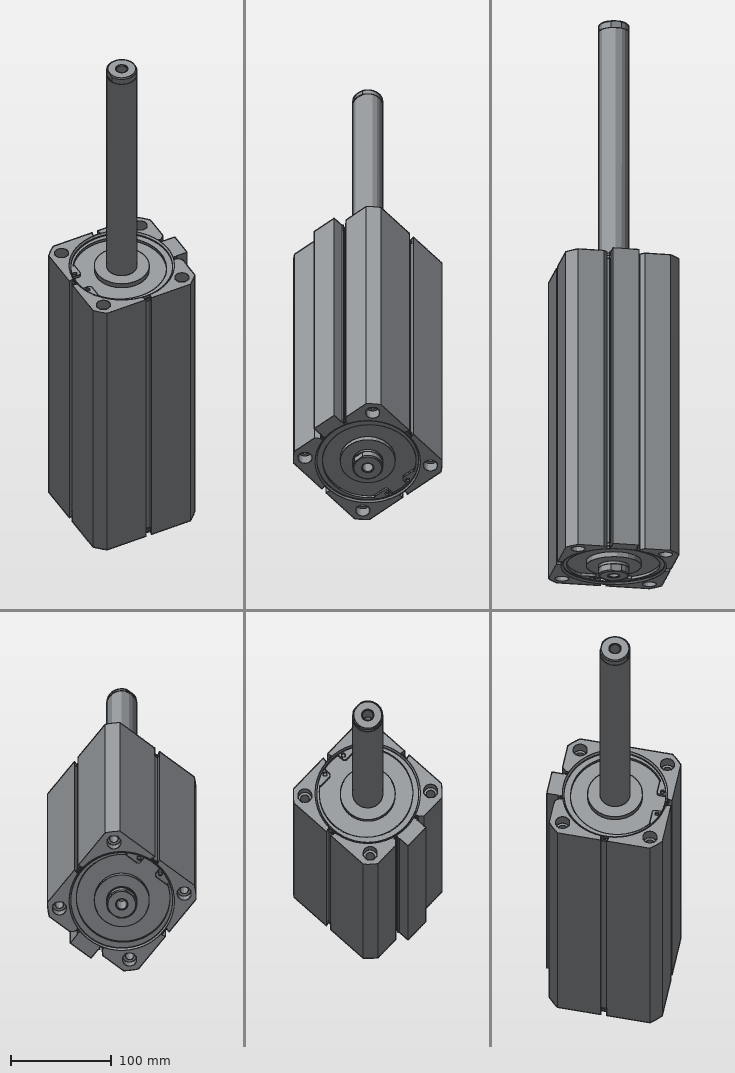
import cadquery as cq
import math


BODY_WIDTH = 115.0
BODY_LENGTH = 313.0
CORNER_INSET = 10.5
BORE_RADIUS = 50.5
MOUTH_CHAMFER = 2.0
RAIL_WIDTH = 26.0
RAIL_HEIGHT = 9.5
NOTCH_DEPTH = 6.5
NOTCH_WIDTH = 7.5
NOTCH_FLOOR = 3.5
BARB_TOP = 2.5
BARB_SIZE = 1.0
SLOT_MOUTH = 6.0
SLOT_FLOOR = 8.0
SLOT_DEPTH = 4.5
BOLT_OFFSET = 44.0
BOLT_HOLE_RADIUS = 4.35
COUNTERBORE_RADIUS = 7.0
COUNTERBORE_DEPTH = 11.5

RING_INSET = 3.0
RING_THICKNESS = 3.0
RING_OUTER_RADIUS = 54.0
RING_INNER_RADIUS = 46.5
RING_INNER_SHIFT = 2.5
RING_HALF_GAP = 10.0
LUG_CORNER_RADIUS = 3.0
LUG_REACH = 25.5
LUG_INNER_Y = 40.0
EYE_X = 13.5
EYE_Y = 45.5
EYE_RADIUS = 2.05

COVER_INSET = RING_INSET + RING_THICKNESS
COVER_THICKNESS = 23.5
BOSS_RADIUS = 27.5
BOSS_HEIGHT = 5.0

ROD_RADIUS = 15.0
ROD_LENGTH = 582.5
ROD_LOW_END = 10.0
TIP_STEP = 0.2
TIP_LENGTH = 7.5
TIP_CHAMFER = 1.0
TIP_FLAT = 14.0
ROD_HOLE_RADIUS = 5.0
ROD_HOLE_DEPTH = 23.5
DRILL_POINT_ANGLE = 118
ROD_HOLE_CHAMFER = 0.9

HALF_WIDTH = BODY_WIDTH / 2


def at_far_end(body):
    """Mirror image of a body from the lower to the upper end of the barrel."""
    return body.mirror("XY", (0, 0, BODY_LENGTH / 2))


def both_ends(body):
    return [body, at_far_end(body)]


def end_disc(radius, start, thickness):
    return cq.Workplane("XY").workplane(offset=start).circle(radius).extrude(thickness)


def side_slot(angle):
    """Full-length dovetail slot in the -Y face, turned about the axis by angle."""
    outline = [
        (-SLOT_MOUTH / 2, -HALF_WIDTH),
        (-SLOT_FLOOR / 2, SLOT_DEPTH - HALF_WIDTH),
        (SLOT_FLOOR / 2, SLOT_DEPTH - HALF_WIDTH),
        (SLOT_MOUTH / 2, -HALF_WIDTH),
    ]
    slot = cq.Workplane("XY").polyline(outline).close().extrude(BODY_LENGTH)
    return slot.rotate((0, 0, 0), (0, 0, 1), angle)


def rail_notch():
    """Notch on the +X side of the rail: a 45 degree wall faces the rail and its small barb."""
    rail_x = RAIL_WIDTH / 2
    outline = [
        (0, 0),
        (0, BARB_TOP),
        (BARB_SIZE, BARB_TOP + BARB_SIZE),
        (0, BARB_TOP + 2 * BARB_SIZE),
        (0, NOTCH_DEPTH),
        (NOTCH_FLOOR, NOTCH_DEPTH),
        (NOTCH_FLOOR, NOTCH_WIDTH - NOTCH_FLOOR),
        (NOTCH_WIDTH, 0),
    ]
    points = [(rail_x + out, HALF_WIDTH - depth) for out, depth in outline]
    return cq.Workplane("XY").polyline(points).close().extrude(BODY_LENGTH)


def bore_end():
    """Chamfered mouth and ring groove at the lower end of the bore."""
    mouth = cq.Workplane(
        cq.Solid.makeCone(BORE_RADIUS + MOUTH_CHAMFER, BORE_RADIUS, MOUTH_CHAMFER)
    )
    return mouth.union(end_disc(RING_OUTER_RADIUS, RING_INSET, RING_THICKNESS))


def make_barrel():
    barrel = cq.Workplane("XY").rect(BODY_WIDTH, BODY_WIDTH).extrude(BODY_LENGTH)
    corner_radius = math.hypot(HALF_WIDTH, HALF_WIDTH - CORNER_INSET)
    barrel = barrel.intersect(end_disc(corner_radius, 0, BODY_LENGTH))
    rail = (
        cq.Workplane("XY")
        .center(0, HALF_WIDTH)
        .rect(RAIL_WIDTH, 2 * RAIL_HEIGHT)
        .extrude(BODY_LENGTH)
    )
    barrel = barrel.union(rail)
    barrel = barrel.cut(end_disc(BORE_RADIUS, 0, BODY_LENGTH))
    notch = rail_notch()
    barrel = barrel.cut(notch).cut(notch.mirror("YZ"))
    for angle in (0, 90, -90):
        barrel = barrel.cut(side_slot(angle))
    for end in both_ends(bore_end()):
        barrel = barrel.cut(end)

    bolts = cq.Workplane("XY").rect(2 * BOLT_OFFSET, 2 * BOLT_OFFSET, forConstruction=True).vertices()
    barrel = barrel.cut(bolts.circle(BOLT_HOLE_RADIUS).extrude(BODY_LENGTH))
    for counterbores in both_ends(bolts.circle(COUNTERBORE_RADIUS).extrude(COUNTERBORE_DEPTH)):
        barrel = barrel.cut(counterbores)
    return barrel


def make_ring():
    """Open retaining ring at the lower end, with two eyed lugs on its -Y side."""
    blank = end_disc(RING_OUTER_RADIUS, RING_INSET, RING_THICKNESS)
    plane = cq.Workplane("XY").workplane(offset=RING_INSET)
    opening = (
        plane.center(0, -RING_INNER_SHIFT)
        .circle(RING_INNER_RADIUS)
        .extrude(RING_THICKNESS)
    )
    lug_width = LUG_REACH - RING_HALF_GAP
    lug_depth = RING_OUTER_RADIUS - LUG_INNER_Y
    lug = (
        plane.center(RING_HALF_GAP + lug_width / 2, -LUG_INNER_Y - lug_depth / 2)
        .rect(lug_width, lug_depth)
        .extrude(RING_THICKNESS)
        .edges("|Z").edges("<X").edges(">Y")
        .fillet(LUG_CORNER_RADIUS)
        .intersect(blank)
    )
    gap = (
        plane.center(0, -RING_OUTER_RADIUS)
        .rect(2 * RING_HALF_GAP, RING_OUTER_RADIUS)
        .extrude(RING_THICKNESS)
    )
    eyes = (
        plane.pushPoints([(-EYE_X, -EYE_Y), (EYE_X, -EYE_Y)])
        .circle(EYE_RADIUS)
        .extrude(RING_THICKNESS)
    )
    ring = blank.cut(opening).cut(gap).union(lug).union(lug.mirror("YZ"))
    return ring.cut(eyes)


def make_cover():
    """Cover at the lower end, behind the ring, with a boss around the rod."""
    cover = end_disc(BORE_RADIUS, COVER_INSET, COVER_THICKNESS)
    cover = cover.union(end_disc(BOSS_RADIUS, COVER_INSET - BOSS_HEIGHT, BOSS_HEIGHT))
    return cover.cut(end_disc(ROD_RADIUS, 0, BODY_LENGTH))


def make_rod():
    """Rod through both covers; each tip is stepped, chamfered, flatted and has a blind hole."""
    half = ROD_LENGTH / 2
    tip_radius = ROD_RADIUS - TIP_STEP
    tip_start = half - TIP_LENGTH
    drill_point = ROD_HOLE_RADIUS / math.tan(math.radians(DRILL_POINT_ANGLE / 2))
    profile = [
        (0, 0),
        (-ROD_RADIUS, 0),
        (-ROD_RADIUS, tip_start),
        (-tip_radius, tip_start),
        (-tip_radius, half - TIP_CHAMFER),
        (-tip_radius + TIP_CHAMFER, half),
        (-ROD_HOLE_RADIUS - ROD_HOLE_CHAMFER, half),
        (-ROD_HOLE_RADIUS, half - ROD_HOLE_CHAMFER),
        (-ROD_HOLE_RADIUS, half - ROD_HOLE_DEPTH),
        (0, half - ROD_HOLE_DEPTH - drill_point),
    ]
    upper = cq.Workplane("YZ").polyline(profile).close().revolve(360, (0, 0), (0, 1))
    flat_cut = ROD_RADIUS - TIP_FLAT
    for side in (-1, 1):
        flat = (
            cq.Workplane("XY")
            .workplane(offset=tip_start)
            .center(0, side * (TIP_FLAT + flat_cut / 2))
            .rect(2 * ROD_RADIUS, flat_cut)
            .extrude(TIP_LENGTH)
        )
        upper = upper.cut(flat)
    rod = upper.union(upper.mirror("XY"))
    return rod.translate((0, 0, half - ROD_LOW_END))


barrel = make_barrel()
rings = both_ends(make_ring())
covers = both_ends(make_cover())
rod = make_rod()

result = cq.Compound.makeCompound(
    [
        barrel.val(),
        rod.val(),
        *[ring.val() for ring in rings],
        *[cover.val() for cover in covers],
    ]
)